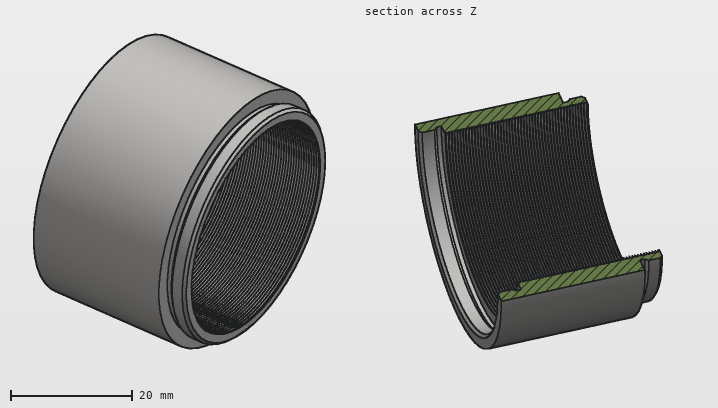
import cadquery as cq
import math

body_diameter = 46.0
body_length = 25.0
neck_diameter = 41.0
neck_length = 0.8
flange_diameter = 42.0
flange_length = 3.0
flange_chamfer = (flange_diameter - neck_diameter) / 2
total_length = body_length + neck_length + flange_length

mouth_diameter = 42.3
socket_diameter = 41.25
relief_diameter = 42.3
mouth_chamfer = (mouth_diameter - socket_diameter) / 2
socket_depth = 4.0
relief_start = 2.7
relief_taper = (relief_diameter - socket_diameter) / 2

bore_diameter = 38.0
groove_pitch = 0.5
groove_angle = 60.0
groove_depth = groove_pitch / 2 / math.tan(math.radians(groove_angle / 2))
shoulder_land = 0.05
first_groove_start = socket_depth + shoulder_land
groove_count = math.floor((total_length - first_groove_start) / groove_pitch)


def disc(diameter, start, length):
    """Cylinder along X that begins at the given X position."""
    return cq.Workplane("YZ", origin=(start, 0, 0)).circle(diameter / 2).extrude(length)


def make_outside():
    """Solid body, neck and chamfered end flange."""
    body = disc(body_diameter, 0, body_length)
    neck = disc(neck_diameter, body_length, neck_length)
    flange = disc(flange_diameter, body_length + neck_length, flange_length)
    flange = flange.edges().chamfer(flange_chamfer)
    return body.union(neck).union(flange)


def make_socket():
    """Cutter for the socket: chamfered mouth, straight wall and relief with a tapered entry."""
    mouth_radius = mouth_diameter / 2
    socket_radius = socket_diameter / 2
    relief_radius = relief_diameter / 2
    return (
        cq.Workplane("XY")
        .moveTo(0, 0)
        .lineTo(0, mouth_radius)
        .lineTo(mouth_chamfer, socket_radius)
        .lineTo(relief_start, socket_radius)
        .lineTo(relief_start + relief_taper, relief_radius)
        .lineTo(socket_depth, relief_radius)
        .lineTo(socket_depth, 0)
        .close()
        .revolve(360, (0, 0, 0), (1, 0, 0))
    )


def make_grooved_bore():
    """Cutter for the bore: a cylinder whose wall carries a row of V rings."""
    bore_radius = bore_diameter / 2
    profile = cq.Workplane("XY").moveTo(socket_depth, 0).lineTo(socket_depth, bore_radius)
    profile = profile.lineTo(first_groove_start, bore_radius)
    for index in range(groove_count):
        groove_start = first_groove_start + index * groove_pitch
        profile = profile.lineTo(groove_start + groove_pitch / 2, bore_radius + groove_depth)
        profile = profile.lineTo(groove_start + groove_pitch, bore_radius)
    profile = profile.lineTo(total_length, bore_radius).lineTo(total_length, 0).close()
    return profile.revolve(360, (0, 0, 0), (1, 0, 0))


result = make_outside().cut(make_socket()).cut(make_grooved_bore())